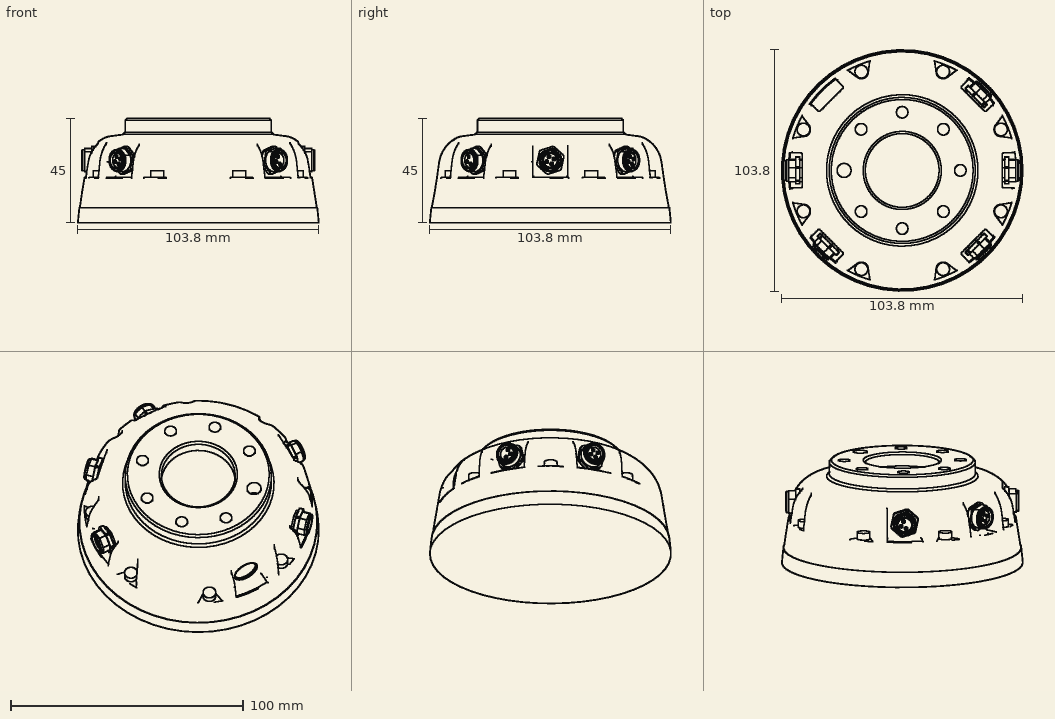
import cadquery as cq
import math

base_radius = 51.9
base_lip_height = 0.3
base_height = 6.5
base_top_radius = 51.3
shell_foot_radius = 51.1
shell_draft = 9.0
shoulder_start_height = 26.2
shoulder_end_radius = 41.2
shoulder_end_height = 36.1
roof_radius = 38.1
roof_height = 37.3
neck_radius = 32.6
neck_height = 38.0

total_height = 45.0
flange_radius = 31.5
flange_height = 6.0
flange_chamfer = 0.9
bore_radius = 15.9
bore_chamfer = 0.9
bore_depth = 5.9
bolt_circle_radius = 25.0
bolt_count = 8
bolt_diameter = 5.0
large_bolt_diameter = 6.0
large_bolt_angle = 180
bolt_depth = 8.3

pocket_floor = 19.5
pocket_rounding = 0.5
rim_rounding = 0.4
tool_reach = 62.3
tool_height = 20.8

screw_count = 8
screw_circle_radius = 46.0
screw_slot_radius = 3.0
screw_flare = 30.0
screw_head_radius = 2.75
screw_head_height = 2.9

connector_width = 15.0
connector_back = 43.1
connector_height = 26.9
empty_angle = 135.0
port_radius = 5.0
port_chamfer = 0.5
port_depth = 0.8

connector_root = 41.5
nut_start = 44.1
nut_end = 45.9
nut_corner_radius = 6.2
nut_turned_radius = 6.0
nut_sides = 6
body_end = 48.9
body_radius = 4.9
body_corner_radius = 5.3
flat_span = 51.5
lip_end = 50.0
lip_radius = 4.6
lip_chamfer = 0.3
socket_radius = 3.0
socket_depth = 0.9
socket_chamfer = 0.5
contact_pitch = 90
contact_circle_radius = 1.7
contact_radius = 0.36
contact_mouth_radius = 0.7
contact_mouth_depth = 0.3
contact_depth = 2.1

connectors = [
    (0, 78, 290, 4),
    (45, 78, 290, 4),
    (180, 102, 254, 3),
    (225, 78, 290, 4),
    (315, 78, 110, 3),
]


def polar(radius, degrees):
    angle = math.radians(degrees)
    return (radius * math.cos(angle), radius * math.sin(angle))


def turned(shape, degrees):
    """Turn a feature made on the +X side about the housing axis."""
    return shape.rotate((0, 0, 0), (0, 0, 1), degrees)


def make_housing():
    rise = shoulder_start_height - base_height
    draft = math.tan(math.radians(shell_draft))
    shoulder_start_radius = shell_foot_radius - rise * draft
    flange_bottom = total_height - flange_height
    outline = (
        cq.Workplane("XZ")
        .moveTo(0, 0)
        .lineTo(base_radius, 0)
        .lineTo(base_radius, base_lip_height)
        .lineTo(base_top_radius, base_height)
        .lineTo(shell_foot_radius, base_height)
        .lineTo(shoulder_start_radius, shoulder_start_height)
        .tangentArcPoint((shoulder_end_radius, shoulder_end_height), relative=False)
        .tangentArcPoint((roof_radius, roof_height), relative=False)
        .lineTo(neck_radius, neck_height)
        .lineTo(flange_radius, flange_bottom)
        .lineTo(flange_radius, total_height - flange_chamfer)
        .lineTo(flange_radius - flange_chamfer, total_height)
        .lineTo(0, total_height)
        .close()
    )
    return outline.revolve(360, (0, 0, 0), (0, 1, 0))


def cut_flange_holes(part):
    top = cq.Workplane("XY").workplane(offset=total_height)
    bore = top.circle(bore_radius).extrude(-bore_depth)
    bore_mouth = (
        top.circle(bore_radius + bore_chamfer)
        .workplane(offset=-bore_chamfer)
        .circle(bore_radius)
        .loft(ruled=True)
    )
    part = part.cut(bore).cut(bore_mouth)
    for index in range(bolt_count):
        angle = 360 * index / bolt_count
        diameter = large_bolt_diameter if angle == large_bolt_angle else bolt_diameter
        hole = top.center(*polar(bolt_circle_radius, angle)).circle(diameter / 2).extrude(-bolt_depth)
        part = part.cut(hole)
    return part


def make_screw_pocket():
    """Round-backed slot whose sides flare outwards, on the +X side."""
    flare = math.radians(screw_flare)
    tangent_x = screw_circle_radius - screw_slot_radius * math.sin(flare)
    tangent_y = screw_slot_radius * math.cos(flare)
    mouth_y = tangent_y + (tool_reach - tangent_x) * math.tan(flare)
    return (
        cq.Workplane("XY")
        .workplane(offset=pocket_floor)
        .moveTo(tangent_x, -tangent_y)
        .threePointArc((screw_circle_radius - screw_slot_radius, 0), (tangent_x, tangent_y))
        .lineTo(tool_reach, mouth_y)
        .lineTo(tool_reach, -mouth_y)
        .close()
        .extrude(tool_height)
    )


def make_screw_head():
    return (
        cq.Workplane("XY")
        .workplane(offset=pocket_floor)
        .center(screw_circle_radius, 0)
        .circle(screw_head_radius)
        .extrude(screw_head_height)
    )


def make_connector_pocket():
    """Flat-backed pocket on the +X side with rounded edges around its back wall."""
    length = tool_reach - connector_back
    return (
        cq.Workplane("XY")
        .box(length, connector_width, tool_height, centered=(False, True, False))
        .translate((connector_back, 0, pocket_floor))
        .edges("<X and (not >Z)")
        .fillet(pocket_rounding)
    )


def round_pocket_rims(part):
    """Round the edges where the flat and round pocket walls meet the conical and toroidal shell."""
    shell_edges = part.faces("%CONE or %TORUS").edges().vals()
    wall_edges = part.faces("%PLANE or %CYLINDER").edges().vals()
    rims = [
        edge
        for edge in shell_edges
        if pocket_floor - rim_rounding < edge.Center().z < shoulder_end_height
        and any(edge.isSame(other) for other in wall_edges)
    ]
    return part.newObject(rims).fillet(rim_rounding)


def radial_plane(distance):
    """Plane facing outwards on a connector axis; local x is tangential, local y is up."""
    return cq.Workplane("YZ", origin=(distance, 0, connector_height))


def make_port():
    """Open connector port: a blind hole with a chamfered mouth."""
    hole = radial_plane(connector_back).circle(port_radius).extrude(-port_depth)
    mouth = radial_plane(connector_back).circle(port_radius + port_chamfer)
    mouth = mouth.workplane(offset=-port_chamfer).circle(port_radius).loft(ruled=True)
    return hole.union(mouth)


def make_nut(ridge_angle):
    corners = [polar(nut_corner_radius, ridge_angle + 360 * i / nut_sides) for i in range(nut_sides)]
    hexagon = radial_plane(nut_start).polyline(corners).close().extrude(nut_end - nut_start)
    blank = radial_plane(nut_start).circle(nut_turned_radius).extrude(nut_end - nut_start)
    return hexagon.intersect(blank)


def make_connector_body(ridge_angle):
    """Round body with two flats meeting in a ridge, and a round lip at its outer end."""
    body = (
        radial_plane(connector_root)
        .moveTo(*polar(body_radius, ridge_angle - flat_span))
        .lineTo(*polar(body_corner_radius, ridge_angle))
        .lineTo(*polar(body_radius, ridge_angle + flat_span))
        .threePointArc(
            polar(body_radius, ridge_angle + 180),
            polar(body_radius, ridge_angle - flat_span),
        )
        .close()
        .extrude(body_end - connector_root)
    )
    lip = radial_plane(body_end).circle(lip_radius).extrude(lip_end - body_end)
    return body.union(lip.faces(">X").edges().chamfer(lip_chamfer))


def make_socket(first_contact, contact_count):
    """Recess in the connector face with countersunk contact holes in its floor."""
    socket = radial_plane(lip_end).circle(socket_radius + socket_chamfer)
    socket = socket.workplane(offset=-socket_depth).circle(socket_radius).loft(ruled=True)
    floor = lip_end - socket_depth
    for index in range(contact_count):
        place = polar(contact_circle_radius, first_contact + contact_pitch * index)
        plane = radial_plane(floor).center(*place)
        hole = plane.circle(contact_radius).extrude(-contact_depth)
        mouth = plane.circle(contact_mouth_radius).workplane(offset=-contact_mouth_depth)
        mouth = mouth.circle(contact_radius).loft(ruled=True)
        socket = socket.union(hole).union(mouth)
    return socket


def make_connector(ridge_angle, first_contact, contact_count):
    connector = make_connector_body(ridge_angle).union(make_nut(ridge_angle))
    return connector.cut(make_socket(first_contact, contact_count))


screw_angles = [360 * (index + 0.5) / screw_count for index in range(screw_count)]
pocket_angles = [connector[0] for connector in connectors] + [empty_angle]

pockets = [turned(make_screw_pocket(), angle) for angle in screw_angles]
pockets += [turned(make_connector_pocket(), angle) for angle in pocket_angles]
inserts = [turned(make_screw_head(), angle) for angle in screw_angles]
for angle, ridge_angle, first_contact, contact_count in connectors:
    inserts.append(turned(make_connector(ridge_angle, first_contact, contact_count), angle))

housing = make_housing().val().cut(*[pocket.val() for pocket in pockets])
housing = round_pocket_rims(cq.Workplane(housing))
housing = cut_flange_holes(housing).cut(turned(make_port(), empty_angle))
assembly = housing.val().fuse(*[insert.val() for insert in inserts])
result = cq.Workplane(assembly.Solids()[0])